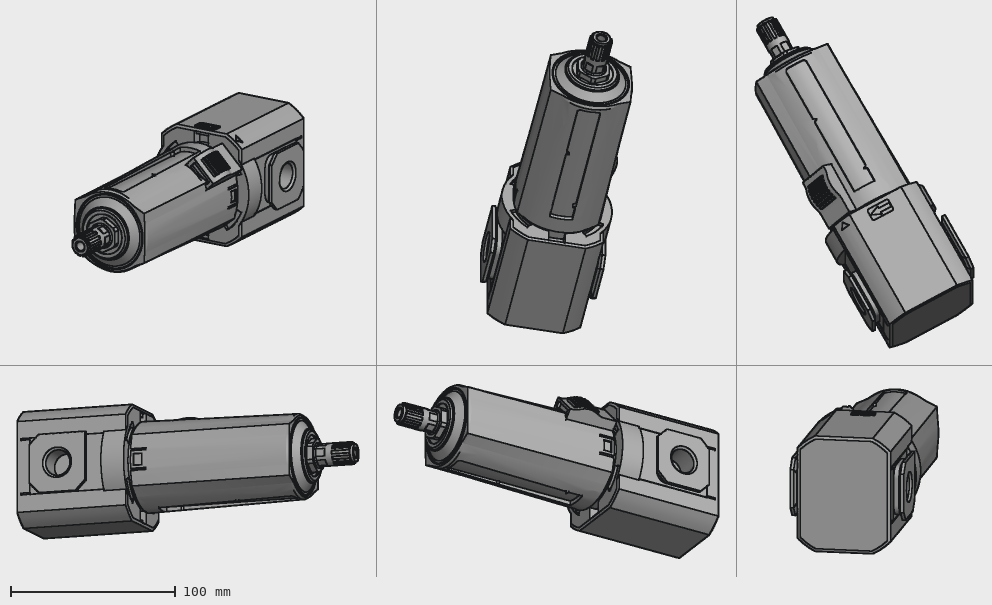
import cadquery as cq
import math


HOUSING_WIDTH = 57.6
HOUSING_HEIGHT = 72.0
HOUSING_CORNER_RADIUS = 40.2
HOUSING_END = 71.7
RIM_CHAMFER_INSET = 1.9
RIM_CHAMFER_LENGTH = 0.6
COLLAR_RADIUS = 34.2
COLLAR_START = 57.0

PORT_DEPTH = 29.0
PORT_DIAMETER = 15.7
PORT_MOUTH_DIAMETER = 18.7
PORT_BORE_LENGTH = 16.8
FLANGE_SPAN = 70.2
FLANGE_FACE_X = FLANGE_SPAN / 2
FLANGE_HALF = 18.0
FLANGE_CHAMFER = 6.0
FLANGE_PLATE_THICKNESS = 2.0
FLANGE_BEVEL_LENGTH = 1.5
FLANGE_NECK_HALF = 15.3
FLANGE_NECK_ROUNDING = 7.0

SIDE_PANEL_HALF = 17.4
SIDE_PANEL_START = 8.8
SIDE_PANEL_DEPTH = 0.5
SLIT_START = 3.1
SLIT_WIDTH = 1.0

NOTCH_WIDTH = 10.0
NOTCH_TOP = 34.2
NOTCH_STEP = 31.9
NOTCH_DEPTH = 6.3
NOTCH_STEP_DEPTH = 2.0
SLOT_OUTER_RADIUS = 62.5 / 2
SLOT_INNER_RADIUS = 27.2
SLOT_CENTER_ANGLE = 38.5
SLOT_SPAN = 31.0
SLOT_DEPTH = 2.0

LABEL_WIDTH = 14.5
LABEL_LENGTH = 7.8
LABEL_CENTER = 64.5
LABEL_CORNER = 1.3
LABEL_DEPTH = 0.5
ARROW_MARGIN = 0.5
ARROW_SHAFT_HALF = 1.36
ARROW_HEAD_HALF = 2.7
ARROW_HEAD_LENGTH = 6.5
MARK_ANGLE = 54.0
MARK_BASE = 65.8
MARK_TIP = 69.5
MARK_HALF = 3.0

BOWL_RADIUS = 23.3
BOWL_RIM_RADIUS = 26.5
BOWL_RIM_START = 67.0
GUARD_START = 73.8
GUARD_END = 175.8
CONE_BASE_RADIUS = 21.8
CONE_TIP_RADIUS = 16.8
CONE_END = 180.2
BOSS_RADIUS = 16.1
BOSS_END = 182.1
BOSS_CHAMFER = 1.0
BOSS_RECESS_RADIUS = 25.4 / 2
BOSS_RECESS_DEPTH = 0.8

GUARD_RIM_LENGTH = 1.9
GUARD_CORNER_Z = 16.0
GUARD_BACK_SECTION = (27.9, 18.5, 21.5, 25.1, 26.6, 10.3, 27.7)
GUARD_RIM_SECTION = (26.2, 17.5, 19.3, 24.7, 25.1, 9.2, 26.2)
GUARD_END_SECTION = (25.0, 17.5, 19.3, 24.7, 25.1, 9.2, 25.4)
BORE_CHAMFER = 0.6
WINDOW_WIDTH = 14.0
WINDOW_START = 84.2
WINDOW_END = 171.8
WINDOW_CORNER = 1.9
WINDOW_FLOOR_RADIUS = 25.0
NUB_SIZE = 1.9
NUB_DEPTHS = (94.5, 135.4)
TAB_SLIT_OFFSET = 6.0
TAB_SLIT_WIDTH = 1.3
TAB_SLIT_END = 83.5
TAB_POCKET_START = 75.5
TAB_POCKET_END = 80.9
TAB_POCKET_WIDTH = 7.1
TAB_POCKET_FLOOR = 26.5

BUTTON_END = 106.7
BUTTON_HALF_WIDTH = 10.0
BUTTON_FLOOR = 24.5
BUTTON_TOP = 33.3
GRIP_RISE = 2.7
GRIP_START = 83.2
GRIP_END = 104.5
GRIP_MIDDLE = (GRIP_START + GRIP_END) / 2
GRIP_BLEND_LENGTH = 3.8
GRIP_BLEND_RISE = 0.95
RIB_COUNT = 7
RIB_PITCH = 2.5
RIB_WIDTH = 1.3
RIB_HALF_LENGTH = 6.5
RIB_HEIGHT = 1.7
BUTTON_POCKET_WIDTH = 14.7
BUTTON_POCKET_BOTTOM = 27.7
BUTTON_POCKET_TOP = 31.6
BUTTON_POCKET_DEPTH = 2.0
LUG_HALF_WIDTH = 5.0
LUG_TOP = 28.0
BUTTON_ANGLE = 45.0

NUT_FLATS = 19.3
NUT_CORNER_DIAMETER = 21.0
NUT_END = 185.3
COCK_DIAMETER = 13.8
SHANK_FLATS = 13.0
SHANK_TURN = 4.0
SHOULDER_DIAMETER = 15.7
SHANK_START = 186.0
SHANK_END = 191.8
FLUTE_START = 196.4
FLUTE_END = 207.7
FLUTE_COUNT = 12
FLUTE_WIDTH = 1.9
FLUTE_DEPTH = 0.8
SPOUT_DIAMETER = 11.0
TOTAL_LENGTH = 209.5
DRAIN_HOLE_DIAMETER = 5.7
DRAIN_MOUTH_DIAMETER = 7.0
DRAIN_HOLE_LENGTH = 10.5

REACH = 125.7
OVERLAP = 2.0
PORT_SIDES = (-1, 1)


def section_at(depth):
    """Workplane across the axis: local x = X, local y = Z, extruding toward -Y."""
    return cq.Workplane("XZ", origin=(0, -depth, 0))


def disc(radius, start, end):
    return section_at(start).circle(radius).extrude(end - start)


def turned(profile):
    """Revolve (radius, depth) points about the Y axis."""
    points = [(radius, -depth) for radius, depth in profile]
    return cq.Workplane("XY").polyline(points).close().revolve(360, (0, 0, 0), (0, 1, 0))


def block(x_range, depth_range, z_range):
    width = x_range[1] - x_range[0]
    length = depth_range[1] - depth_range[0]
    height = z_range[1] - z_range[0]
    corner = (x_range[0], -depth_range[1], z_range[0])
    return cq.Workplane("XY").box(width, length, height, centered=False).translate(corner)


def hexagon_bar(flats, corner_diameter, start, end):
    """Hexagon with corners toward +Z and -Z, rounded off by a cylinder."""
    across_corners = flats / math.cos(math.radians(30))
    bar = section_at(start).polygon(6, across_corners).extrude(end - start)
    bar = bar.rotate((0, 0, 0), (0, 1, 0), 30)
    return bar.intersect(disc(corner_diameter / 2, start, end))


def rim_profile(half):
    """Lengthwise (radius, depth) profile whose ends are chamfered, from the axis to the outside."""
    inset = half - RIM_CHAMFER_INSET
    back = RIM_CHAMFER_LENGTH
    front = HOUSING_END - RIM_CHAMFER_LENGTH
    return [(0, 0), (inset, 0), (half, back), (half, front), (inset, HOUSING_END), (0, HOUSING_END)]


def rim_slab(half):
    """Slab bounded at X = +half and -half, with chamfered ends."""
    right = [(x, -depth) for x, depth in rim_profile(half)[1:-1]]
    left = [(-x, y) for x, y in reversed(right)]
    return cq.Workplane("XY").polyline(right + left).close().extrude(REACH, both=True)


def housing_shell():
    """Box with corners rounded about the axis and with a chamfered rim at both ends."""
    sides = rim_slab(HOUSING_WIDTH / 2)
    top_and_bottom = rim_slab(HOUSING_HEIGHT / 2).rotate((0, 0, 0), (0, 1, 0), 90)
    corners = turned(rim_profile(HOUSING_CORNER_RADIUS))
    return sides.intersect(top_and_bottom).intersect(corners)


def flange_outline(x, half, chamfer, square_corner):
    """Square with chamfered corners on the plane at x; one corner may stay square."""
    back, front = half - PORT_DEPTH, -half - PORT_DEPTH
    points = [(back, half - chamfer), (back, chamfer - half), (back - chamfer, -half),
              (front + chamfer, -half), (front, chamfer - half)]
    if square_corner:
        points += [(front, half)]
    else:
        points += [(front, half - chamfer), (front + chamfer, half)]
    points += [(back - chamfer, half)]
    return cq.Workplane("YZ", origin=(x, 0, 0)).polyline(points).close()


def port_flange(side):
    """Port flange: rounded square neck, bevel and square plate, on the +X or -X side."""
    square_corner = side < 0
    plate_x = FLANGE_FACE_X - FLANGE_PLATE_THICKNESS
    bevel_x = plate_x - FLANGE_BEVEL_LENGTH
    root_x = HOUSING_WIDTH / 2 - OVERLAP
    depth_range = (PORT_DEPTH - FLANGE_NECK_HALF, PORT_DEPTH + FLANGE_NECK_HALF)
    neck = block(sorted((side * root_x, side * bevel_x)), depth_range, (-FLANGE_NECK_HALF, FLANGE_NECK_HALF))
    neck = neck.edges("|X").fillet(FLANGE_NECK_ROUNDING)
    inner = flange_outline(side * bevel_x, FLANGE_NECK_HALF, FLANGE_CHAMFER, square_corner)
    outer = flange_outline(side * plate_x, FLANGE_HALF, FLANGE_CHAMFER, square_corner)
    plate = outer.extrude(side * FLANGE_PLATE_THICKNESS)
    wires = [outline.wire().val() for outline in (inner, outer)]
    bevel = cq.Workplane(cq.Solid.makeLoft(wires, True))
    return neck.union(bevel).union(plate)


def port_bore(side):
    countersink = (PORT_MOUTH_DIAMETER - PORT_DIAMETER) / 2
    axis = cq.Vector(-side, 0, 0)
    mouth = cq.Vector(side * FLANGE_FACE_X, -PORT_DEPTH, 0)
    bore = cq.Solid.makeCylinder(PORT_DIAMETER / 2, PORT_BORE_LENGTH, mouth, axis)
    cone = cq.Solid.makeCone(PORT_MOUTH_DIAMETER / 2, PORT_DIAMETER / 2, countersink, mouth, axis)
    return cq.Workplane(bore).union(cq.Workplane(cone))


def side_panel(side):
    """Shallow recess around a port flange, ending at the collar."""
    outer_x = side * HOUSING_WIDTH / 2
    inner_x = outer_x - side * SIDE_PANEL_DEPTH
    x_range = sorted((outer_x, inner_x))
    return block(x_range, (SIDE_PANEL_START, COLLAR_START), (-SIDE_PANEL_HALF, SIDE_PANEL_HALF))


def bayonet_slot(angle):
    """Sector of a ring cut into the front face of the housing."""
    start = HOUSING_END - SLOT_DEPTH
    ring = section_at(start).circle(SLOT_OUTER_RADIUS).circle(SLOT_INNER_RADIUS).extrude(SLOT_DEPTH)
    half_width = REACH * math.tan(math.radians(SLOT_SPAN / 2))
    wedge = section_at(start).polyline([(0, 0), (REACH, -half_width), (REACH, half_width)]).close()
    wedge = wedge.extrude(SLOT_DEPTH).rotate((0, 0, 0), (0, 1, 0), -angle)
    return ring.intersect(wedge)


def front_notch():
    """Stepped notch in the front face, above the bowl."""
    half = NOTCH_WIDTH / 2
    deep_range = (HOUSING_END - NOTCH_DEPTH, HOUSING_END)
    shallow_range = (HOUSING_END - NOTCH_STEP_DEPTH, HOUSING_END)
    deep = block((-half, half), deep_range, (BOWL_RIM_RADIUS - OVERLAP, NOTCH_STEP))
    shallow = block((-half, half), shallow_range, (NOTCH_STEP, NOTCH_TOP))
    return deep.union(shallow)


def flow_label():
    """Recess in the top face that leaves a flow arrow standing."""
    floor = HOUSING_HEIGHT / 2 - LABEL_DEPTH
    recess = cq.Workplane("XY", origin=(0, -LABEL_CENTER, floor)).rect(LABEL_WIDTH, LABEL_LENGTH)
    recess = recess.extrude(OVERLAP).edges("|Z").fillet(LABEL_CORNER)
    tip = LABEL_WIDTH / 2 - ARROW_MARGIN
    neck = tip - ARROW_HEAD_LENGTH
    arrow = cq.Workplane("XY", origin=(0, -LABEL_CENTER, floor)).polyline([
        (-tip, -ARROW_SHAFT_HALF), (neck, -ARROW_SHAFT_HALF), (neck, -ARROW_HEAD_HALF), (tip, 0),
        (neck, ARROW_HEAD_HALF), (neck, ARROW_SHAFT_HALF), (-tip, ARROW_SHAFT_HALF)]).close().extrude(OVERLAP)
    return recess.cut(arrow)


def alignment_mark():
    """Triangle engraved in the rounded corner above the lock button."""
    floor = HOUSING_CORNER_RADIUS - LABEL_DEPTH
    mark = cq.Workplane("XY", origin=(0, 0, floor)).polyline(
        [(-MARK_HALF, -MARK_BASE), (MARK_HALF, -MARK_BASE), (0, -MARK_TIP)]).close().extrude(OVERLAP)
    return mark.rotate((0, 0, 0), (0, 1, 0), 90 - MARK_ANGLE)


def make_housing():
    housing = housing_shell().union(disc(COLLAR_RADIUS, COLLAR_START, HOUSING_END))
    for side in PORT_SIDES:
        housing = housing.cut(side_panel(side)).union(port_flange(side))
    for side in PORT_SIDES:
        housing = housing.cut(port_bore(side))
        slit_z = sorted((side * SIDE_PANEL_HALF, side * (SIDE_PANEL_HALF - SLIT_WIDTH)))
        housing = housing.cut(block((-REACH, REACH), (SLIT_START, SIDE_PANEL_START), slit_z))
    for turn in (0, 180):
        housing = housing.cut(front_notch().rotate((0, 0, 0), (0, 1, 0), turn))
        for offset in (-SLOT_CENTER_ANGLE, SLOT_CENTER_ANGLE):
            housing = housing.cut(bayonet_slot(turn + offset))
    housing = housing.cut(flow_label()).cut(alignment_mark())
    return housing.cut(disc(BOWL_RIM_RADIUS, BOWL_RIM_START, HOUSING_END))


def make_bowl():
    recess_floor = BOSS_END - BOSS_RECESS_DEPTH
    return turned([
        (0, BOWL_RIM_START), (BOWL_RIM_RADIUS, BOWL_RIM_START), (BOWL_RIM_RADIUS, GUARD_START),
        (BOWL_RADIUS, GUARD_START), (BOWL_RADIUS, GUARD_END), (CONE_BASE_RADIUS, GUARD_END),
        (CONE_TIP_RADIUS, CONE_END), (BOSS_RADIUS, CONE_END), (BOSS_RADIUS, BOSS_END - BOSS_CHAMFER),
        (BOSS_RADIUS - BOSS_CHAMFER, BOSS_END), (BOSS_RECESS_RADIUS, BOSS_END),
        (BOSS_RECESS_RADIUS, recess_floor), (0, recess_floor)])


def guard_outline(depth, section):
    """Closed section, symmetric about X and Z, from one of the GUARD_*_SECTION tuples."""
    crown, shoulder_x, shoulder_z, corner_x, panel_x, panel_z, side_x = section
    outline = section_at(depth).moveTo(-shoulder_x, shoulder_z)
    outline = outline.threePointArc((0, crown), (shoulder_x, shoulder_z))
    outline = outline.lineTo(corner_x, GUARD_CORNER_Z).lineTo(panel_x, panel_z)
    outline = outline.threePointArc((side_x, 0), (panel_x, -panel_z))
    outline = outline.lineTo(corner_x, -GUARD_CORNER_Z).lineTo(shoulder_x, -shoulder_z)
    outline = outline.threePointArc((0, -crown), (-shoulder_x, -shoulder_z))
    outline = outline.lineTo(-corner_x, -GUARD_CORNER_Z).lineTo(-panel_x, -panel_z)
    outline = outline.threePointArc((-side_x, 0), (-panel_x, panel_z))
    return outline.lineTo(-corner_x, GUARD_CORNER_Z).close().val()


def guard_blank():
    """Tapered body followed by a short rim whose arcs are bevelled."""
    back = guard_outline(GUARD_START, GUARD_BACK_SECTION)
    rim = guard_outline(GUARD_END - GUARD_RIM_LENGTH, GUARD_RIM_SECTION)
    end = guard_outline(GUARD_END, GUARD_END_SECTION)
    body = cq.Workplane(cq.Solid.makeLoft([back, rim], True))
    return body.union(cq.Workplane(cq.Solid.makeLoft([rim, end], True)))


def guard_window():
    """Long shallow window with two gauge nubs pointing inward."""
    length = WINDOW_END - WINDOW_START
    center = (0, -(WINDOW_START + WINDOW_END) / 2, 0)
    window = cq.Workplane("XY", origin=center).rect(WINDOW_WIDTH, length).extrude(REACH)
    window = window.edges("|Z and <Y").fillet(WINDOW_CORNER)
    window = window.cut(disc(WINDOW_FLOOR_RADIUS, WINDOW_START, WINDOW_END))
    for side, depth in zip((-1, 1), NUB_DEPTHS):
        edge_x = side * WINDOW_WIDTH / 2
        nub = cq.Workplane("XY").polyline([
            (edge_x, -depth - NUB_SIZE / 2), (edge_x - side * NUB_SIZE, -depth),
            (edge_x, -depth + NUB_SIZE / 2)]).close().extrude(REACH)
        window = window.cut(nub)
    return window


def snap_tab_cuts():
    """Two slits and a small pocket on the +X side."""
    pocket_half = TAB_POCKET_WIDTH / 2
    cuts = block((TAB_POCKET_FLOOR, REACH), (TAB_POCKET_START, TAB_POCKET_END), (-pocket_half, pocket_half))
    for z in (-TAB_SLIT_OFFSET, TAB_SLIT_OFFSET):
        z_range = (z - TAB_SLIT_WIDTH / 2, z + TAB_SLIT_WIDTH / 2)
        cuts = cuts.union(block((BOWL_RADIUS - OVERLAP, REACH), (GUARD_START, TAB_SLIT_END), z_range))
    return cuts


def make_guard(button):
    guard = guard_blank()
    for turn in (0, 180):
        guard = guard.cut(guard_window().rotate((0, 0, 0), (0, 1, 0), turn))
        guard = guard.cut(snap_tab_cuts().rotate((0, 0, 0), (0, 1, 0), turn))
    bore = turned([
        (0, GUARD_START), (BOWL_RADIUS, GUARD_START), (BOWL_RADIUS, GUARD_END - BORE_CHAMFER),
        (BOWL_RADIUS + BORE_CHAMFER, GUARD_END), (0, GUARD_END)])
    return guard.cut(bore).cut(button)


def grip_profile(top):
    """Lengthwise section with a flat top and a blended hump for the thumb."""
    hump_top = top + GRIP_RISE
    blend_top = top + GRIP_BLEND_RISE
    profile = cq.Workplane("YZ").moveTo(-GUARD_START, BUTTON_FLOOR).lineTo(-GUARD_START, top)
    profile = profile.lineTo(-GRIP_START, top)
    profile = profile.tangentArcPoint((-GRIP_START - GRIP_BLEND_LENGTH, blend_top), relative=False)
    profile = profile.threePointArc((-GRIP_MIDDLE, hump_top), (-GRIP_END + GRIP_BLEND_LENGTH, blend_top))
    profile = profile.tangentArcPoint((-GRIP_END, top), relative=False)
    return profile.lineTo(-BUTTON_END, top).lineTo(-BUTTON_END, BUTTON_FLOOR).close()


def make_button():
    """Built upright with its outside toward +Z, then turned toward +X."""
    button = grip_profile(BUTTON_TOP).extrude(BUTTON_HALF_WIDTH, both=True)
    ribs = grip_profile(BUTTON_TOP + RIB_HEIGHT).extrude(RIB_HALF_LENGTH, both=True)
    for index in range(RIB_COUNT):
        start = GRIP_MIDDLE + (index - (RIB_COUNT - 1) / 2) * RIB_PITCH - RIB_WIDTH / 2
        slab = block((-REACH, REACH), (start, start + RIB_WIDTH), (0, REACH))
        button = button.union(ribs.intersect(slab))

    half_pocket = BUTTON_POCKET_WIDTH / 2
    button = button.cut(block((-half_pocket, half_pocket), (BUTTON_END - BUTTON_POCKET_DEPTH, BUTTON_END),
                              (BUTTON_POCKET_BOTTOM, BUTTON_POCKET_TOP)))

    lug = block((-LUG_HALF_WIDTH, LUG_HALF_WIDTH), (HOUSING_END, GUARD_START), (BUTTON_FLOOR, LUG_TOP))
    lug = lug.cut(disc(BOWL_RIM_RADIUS, HOUSING_END, GUARD_START))
    return button.union(lug).rotate((0, 0, 0), (0, 1, 0), BUTTON_ANGLE)


def make_drain_cock():
    radius = COCK_DIAMETER / 2
    nut_start = BOSS_END - BOSS_RECESS_DEPTH
    cock = hexagon_bar(NUT_FLATS, NUT_CORNER_DIAMETER, nut_start, NUT_END)
    shoulder = turned([
        (0, NUT_END), (SHOULDER_DIAMETER / 2, NUT_END), (radius, SHANK_START), (0, SHANK_START)])
    shank = hexagon_bar(SHANK_FLATS, COCK_DIAMETER, SHANK_START, SHANK_END)
    cock = cock.union(shoulder).union(shank.rotate((0, 0, 0), (0, 1, 0), SHANK_TURN))
    cock = cock.union(disc(radius, SHANK_END, FLUTE_END))
    cock = cock.union(disc(SPOUT_DIAMETER / 2, FLUTE_END, TOTAL_LENGTH))

    half_flute = FLUTE_WIDTH / 2
    flute_range = (radius - FLUTE_DEPTH, radius + OVERLAP)
    flute = block((-half_flute, half_flute), (FLUTE_START, FLUTE_END), flute_range)
    for index in range(FLUTE_COUNT):
        cock = cock.cut(flute.rotate((0, 0, 0), (0, 1, 0), index * 360 / FLUTE_COUNT))

    hole_radius = DRAIN_HOLE_DIAMETER / 2
    mouth_radius = DRAIN_MOUTH_DIAMETER / 2
    hole_start = TOTAL_LENGTH - DRAIN_HOLE_LENGTH
    hole = turned([(0, hole_start), (hole_radius, hole_start),
                   (hole_radius, TOTAL_LENGTH - (mouth_radius - hole_radius)),
                   (mouth_radius, TOTAL_LENGTH), (0, TOTAL_LENGTH)])
    return cock.cut(hole)


housing = make_housing()
bowl = make_bowl()
lock_button = make_button()
guard = make_guard(lock_button)
drain_cock = make_drain_cock()

result = cq.Compound.makeCompound(
    [housing.val(), bowl.val(), guard.val(), lock_button.val(), drain_cock.val()])